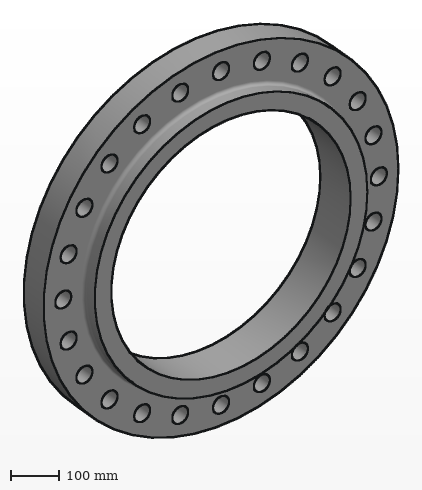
import cadquery as cq

overall_length = 106.0
outer_diameter = 914.0
face_diameter = 692.0
face_height = 2.0
plate_back = 71.0
hub_diameter = 702.0
hub_fillet = 8.0
bore_diameter = 616.0

bolt_circle_diameter = 813.0
bolt_hole_diameter = 41.0
bolt_hole_count = 24


def disc(diameter, start, end):
    """Solid cylinder on the X axis between two X positions."""
    return cq.Workplane("YZ", origin=(start, 0, 0)).circle(diameter / 2).extrude(end - start)


def hub_profile():
    """Half section of the hub, with a concave fillet where it meets the plate."""
    hub_radius = hub_diameter / 2
    return (
        cq.Workplane("XY")
        .moveTo(face_height, 0)
        .lineTo(overall_length, 0)
        .lineTo(overall_length, hub_radius)
        .lineTo(plate_back + hub_fillet, hub_radius)
        .radiusArc((plate_back, hub_radius + hub_fillet), hub_fillet)
        .lineTo(face_height, hub_radius + hub_fillet)
        .close()
    )


plate = disc(outer_diameter, face_height, plate_back)
raised_face = disc(face_diameter, 0, plate_back)
hub = hub_profile().revolve(360, (0, 0, 0), (1, 0, 0))
body = plate.union(raised_face).union(hub)

bore = disc(bore_diameter, 0, overall_length)

bolt_holes = (
    cq.Workplane("YZ")
    .polarArray(bolt_circle_diameter / 2, 0, 360, bolt_hole_count)
    .circle(bolt_hole_diameter / 2)
    .extrude(plate_back)
)

result = body.cut(bore).cut(bolt_holes)